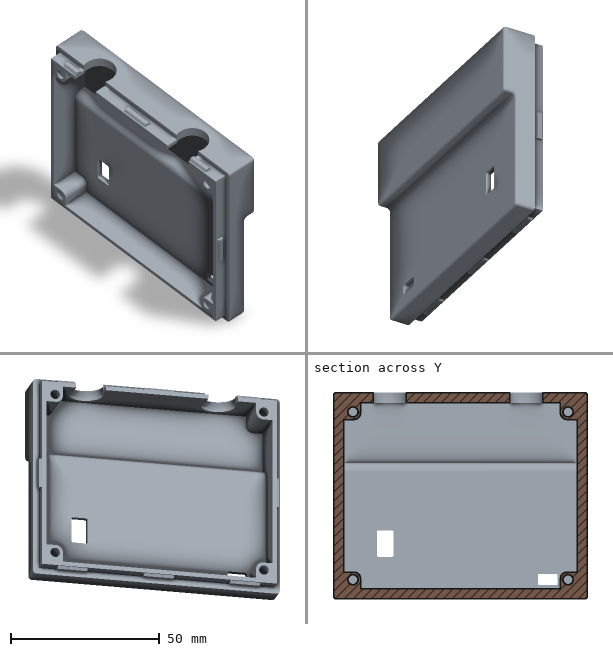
import cadquery as cq

LENGTH = 85.5
HEIGHT = 69.5
DEPTH = 16.2
SHALLOW_DEPTH = 11.6
STEP_Z = 9.15
EDGE_RADIUS = 1.0
FLOOR = 2.0
WALL = 3.5

LIP_DEPTH = 4.3
LIP_INSET = 2.05
LIP_LENGTH = LENGTH - 2 * LIP_INSET
LIP_HEIGHT = HEIGHT - 2 * LIP_INSET

POST_X = 36.2
POST_Z = 28.2
POST_MARGIN = 2.65
POST_CORNER_RADIUS = 2.4
SCREW_RADIUS = 1.6
SCREW_DEPTH = SHALLOW_DEPTH - FLOOR

SNAP_LENGTH = 10.3
SNAP_HEIGHT = 0.9
SNAP_BASE_START = 0.4
SNAP_BASE_END = 2.9
SNAP_SLOPE = 0.5
SNAP_ROOT = 0.85
SNAP_PITCH = 29.9

CABLE_CENTERS = (-23.8, 22.1)
CABLE_Y = 6.5
CABLE_RADIUS = 5.7
CABLE_SLOT_WIDTH = 10.3

WINDOWS = (
    (-25.3, -16.1, 5.6, 9.0),
    (29.3, -28.1, 6.7, 3.8),
)
WINDOW_RADIUS = 0.6


def block(x_size, z_size, y_start, y_end, x=0.0, z=0.0):
    """Box centred on (x, z) and spanning y_start to y_end."""
    middle = (y_start + y_end) / 2
    return cq.Workplane("XY").box(x_size, y_end - y_start, z_size).translate((x, middle, z))


def edge_at(y, z):
    """Selector for the edge along X that passes through (y, z)."""
    near = 0.1
    return cq.selectors.BoxSelector((-near, y - near, z - near), (near, y + near, z + near))


def outer_body():
    """Stepped housing with every edge rounded except those around the flat shoulder."""
    upper_height = HEIGHT / 2 - STEP_Z
    upper_middle = (HEIGHT / 2 + STEP_Z) / 2
    body = block(LENGTH, HEIGHT, LIP_DEPTH, SHALLOW_DEPTH)
    body = body.union(block(LENGTH, upper_height, LIP_DEPTH, DEPTH, z=upper_middle)).clean()
    body = body.edges(edge_at(SHALLOW_DEPTH, STEP_Z)).fillet(EDGE_RADIUS)
    return body.edges("not(<Y)").fillet(EDGE_RADIUS)


def cavity():
    """Stepped hollow that keeps an even back wall and leaves the corner posts standing."""
    x_size = LENGTH - 2 * WALL
    z_size = HEIGHT - 2 * WALL
    wall_z = STEP_Z + FLOOR
    deep_height = z_size / 2 - wall_z
    shallow_floor = SHALLOW_DEPTH - FLOOR
    hollow = block(x_size, z_size, 0, shallow_floor)
    hollow = hollow.union(
        block(x_size, deep_height, 0, DEPTH - FLOOR, z=wall_z + deep_height / 2)
    ).clean()
    hollow = hollow.edges(edge_at(shallow_floor, wall_z)).fillet(FLOOR + EDGE_RADIUS)
    for side_x in (-1, 1):
        for side_z in (-1, 1):
            hollow = hollow.cut(post(side_x, side_z))
    return hollow


def post(side_x, side_z):
    """Rectangular corner post whose inward corner is rounded."""
    reach_x = LENGTH / 2 - POST_X + POST_MARGIN
    reach_z = HEIGHT / 2 - POST_Z + POST_MARGIN
    column = block(
        reach_x, reach_z, 0, DEPTH,
        x=side_x * (LENGTH - reach_x) / 2, z=side_z * (HEIGHT - reach_z) / 2,
    )
    inward = ("<X" if side_x > 0 else ">X", "<Z" if side_z > 0 else ">Z")
    return column.faces(inward[0]).edges(inward[1]).fillet(POST_CORNER_RADIUS)


def snap(reach):
    """Trapezoidal ridge along X at the top of a lip that reaches up to the given height."""
    return (
        cq.Workplane("YZ", origin=(-SNAP_LENGTH / 2, 0, 0))
        .moveTo(SNAP_BASE_START, reach - SNAP_ROOT)
        .lineTo(SNAP_BASE_START, reach)
        .lineTo(SNAP_BASE_START + SNAP_SLOPE, reach + SNAP_HEIGHT)
        .lineTo(SNAP_BASE_END - SNAP_SLOPE, reach + SNAP_HEIGHT)
        .lineTo(SNAP_BASE_END, reach)
        .lineTo(SNAP_BASE_END, reach - SNAP_ROOT)
        .close()
        .extrude(SNAP_LENGTH)
    )


def add_snaps(part):
    """Three ridges above and below, and one on each end of the lip."""
    top = snap(LIP_HEIGHT / 2)
    side = snap(LIP_LENGTH / 2)
    origin = (0, 0, 0)
    y_axis = (0, 1, 0)
    for turn in (0, 180):
        for x in (-SNAP_PITCH, 0, SNAP_PITCH):
            part = part.union(top.translate((x, 0, 0)).rotate(origin, y_axis, turn))
        part = part.union(side.rotate(origin, y_axis, turn + 90))
    return part


def cable_opening(x):
    """Round hole through the top wall, open to the rim through a straight slot."""
    bottom = HEIGHT / 2 - WALL
    hole = cq.Workplane("XY", origin=(x, CABLE_Y, bottom)).circle(CABLE_RADIUS).extrude(WALL)
    hole = hole.intersect(block(LENGTH, HEIGHT, LIP_DEPTH, DEPTH))
    return hole.union(block(CABLE_SLOT_WIDTH, WALL, 0, CABLE_Y, x=x, z=bottom + WALL / 2))


def window(x, z, width, height):
    """Rounded rectangular opening through the shallow back wall."""
    opening = block(width, height, 0, SHALLOW_DEPTH, x=x, z=z)
    return opening.edges("|Y").fillet(WINDOW_RADIUS)


def screw_hole(x, z):
    """Blind pilot hole entering a post from the rim."""
    return cq.Workplane("XZ", origin=(x, 0, z)).circle(SCREW_RADIUS).extrude(-SCREW_DEPTH)


result = outer_body().union(block(LIP_LENGTH, LIP_HEIGHT, 0, LIP_DEPTH))
result = result.cut(cavity())
result = add_snaps(result)

for cable_x in CABLE_CENTERS:
    result = result.cut(cable_opening(cable_x))

for placement in WINDOWS:
    result = result.cut(window(*placement))

for screw_x in (-POST_X, POST_X):
    for screw_z in (-POST_Z, POST_Z):
        result = result.cut(screw_hole(screw_x, screw_z))